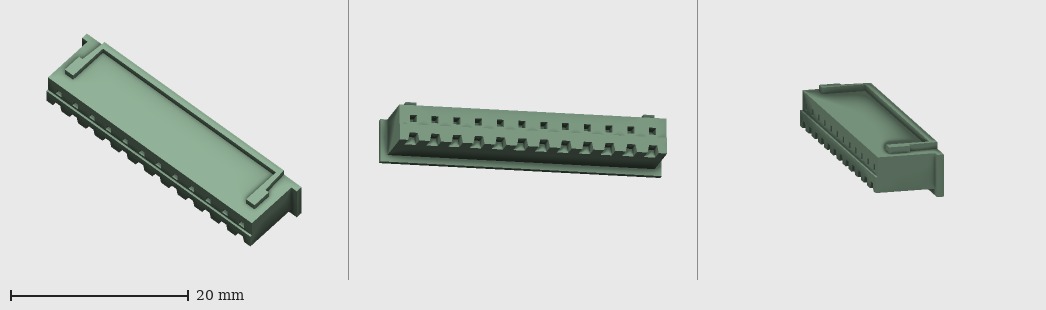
import cadquery as cq

flange_width = 32.3
flange_height = 4.9
flange_thickness = 0.8
flange_overhang = 0.8

body_depth = 7.75
step_depth = 0.25
step_drop = 2.3
body_width = flange_width - 2 * flange_overhang
body_bottom = 0.78

contact_count = 12
contact_row_length = 27.5
contact_pitch = contact_row_length / (contact_count - 1)
pocket_depth = 2.0
hole_size = 0.8
hole_drop = 1.55
groove_height = 0.87
groove_mouth_width = 1.3
groove_roof_width = 0.95

overall_height = 5.7
rail_height = overall_height - flange_height
rail_thickness = 0.8
arm_end = 5.85
hook_start = 3.42
arm_inner_half = 13.02
arm_rear_width = 0.5
arm_width_at_hook = 0.75
hook_width = 1.25


def box(width, y_rear, y_front, z_low, z_high, x_center=0.0):
    """Block centered on x_center; y_rear and y_front are distances from the rear face."""
    block = cq.Workplane("XY").box(width, y_front - y_rear, z_high - z_low, centered=(True, False, False))
    return block.translate((x_center, -y_front, z_low))


def make_body():
    flange = box(flange_width, 0, flange_thickness, 0, flange_height)
    upper = box(body_width, 0, body_depth - step_depth, body_bottom, flange_height)
    lower = box(body_width, 0, body_depth, body_bottom, flange_height - step_drop)
    return flange.union(upper).union(lower)


def make_rail():
    right_half = [
        (arm_inner_half + arm_rear_width, 0),
        (arm_inner_half + arm_width_at_hook, -hook_start),
        (arm_inner_half + hook_width, -hook_start),
        (arm_inner_half + hook_width, -arm_end),
        (arm_inner_half, -arm_end),
        (arm_inner_half, -rail_thickness),
    ]
    left_half = [(-x, y) for x, y in reversed(right_half)]
    outline = cq.Workplane("XY").workplane(offset=flange_height).polyline(right_half + left_half)
    return outline.close().extrude(rail_height)


def make_contact_hole(x_center):
    """Square blind hole in the front face above the step."""
    z_low = flange_height - hole_drop - hole_size / 2
    y_front = body_depth - step_depth
    return box(hole_size, y_front - pocket_depth, y_front, z_low, z_low + hole_size, x_center)


def make_contact_groove(x_center):
    """Tapered blind groove in the underside, open to the front face of the step."""
    mouth = groove_mouth_width / 2
    roof = groove_roof_width / 2
    groove_top = body_bottom + groove_height
    profile = cq.Workplane("XZ", origin=(x_center, -body_depth, 0)).polyline([
        (-mouth, body_bottom),
        (mouth, body_bottom),
        (roof, groove_top),
        (-roof, groove_top),
    ])
    return profile.close().extrude(-pocket_depth)


result = make_body().union(make_rail())
for index in range(contact_count):
    contact_x = (index - (contact_count - 1) / 2) * contact_pitch
    result = result.cut(make_contact_hole(contact_x))
    result = result.cut(make_contact_groove(contact_x))